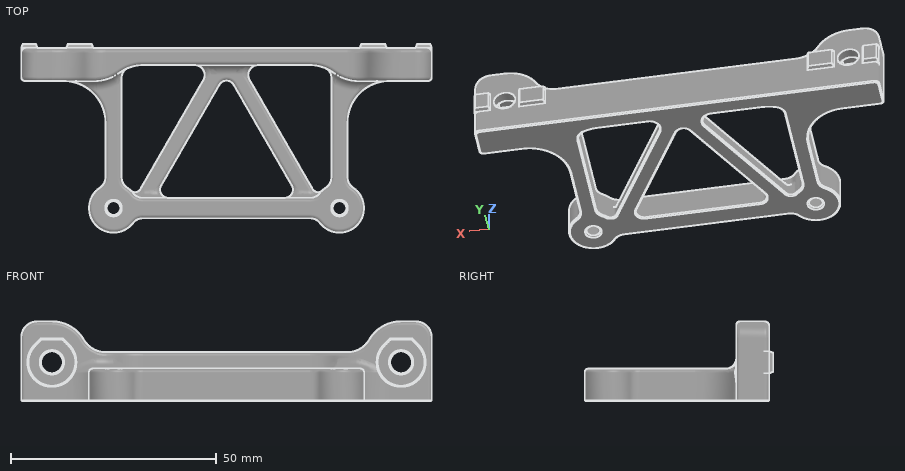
import cadquery as cq
import math

length = 100.0
wall_thickness = 8.1
base_height = 8.0
rail_height = 12.0
rail_thickness = 4.2
ear_height = 19.5

ear_hole_x = 42.5
ear_hole_z = 9.5
ear_corner_radius = 4.0
ear_crown_radius = 9.0
ear_valley_radius = 6.0
ear_slope_angle = math.radians(60)
rail_bend_start_x = 20.3
rail_bend_radius = 10.0

bolt_hole_diameter = 5.3
bolt_hole_chamfer = 0.35
pocket_radius = 5.7
pocket_roof = 5.5
pocket_depth = 5.0
pocket_chamfer = 0.3

key_height = 1.0
key_width = 5.4
key_taper = 22.0
key_gap = 7.0
key_inner_x = 32.4

boss_x = 27.5
boss_y = -39.0
boss_radius = 6.0
boss_hole_diameter = 3.3
boss_hole_chamfer = 0.4
boss_blend_radius = 3.0
arm_width = 4.0
bar_width = 5.0
gusset_radius = 10.0

strut_width = 4.0
strut_height = 4.0
strut_angle = math.radians(60)
strut_apex_y = -2.0
strut_overlap = 1.5
strut_rail_fillet = 2.4
strut_bar_fillet = 2.0
strut_corner_radius = 2.0
strut_boss_fillet = 1.5
seam_reach = 25.0

edge_fillet = 1.0
back_fillet = 1.2
arm_wall_fillet = 2.5
bottom_chamfer = 0.3

half_length = length / 2
arm_inner_x = boss_x - arm_width / 2
arm_outer_x = boss_x + arm_width / 2
bar_inner_y = boss_y + bar_width / 2


def mirror_both(shape):
    """Return the shape together with its mirror image across the YZ plane."""
    return shape.union(shape.mirror("YZ"))


def nearest(x, y, z):
    """Selector for the edge whose centre lies nearest to a point."""
    return cq.selectors.NearestToPointSelector((x, y, z))


def make_wall():
    """Wall with raised ears, thinned between them to a slimmer rail."""
    crown_z = ear_height - ear_crown_radius
    slope_x = ear_hole_x - ear_crown_radius * math.sin(ear_slope_angle)
    slope_z = crown_z + ear_crown_radius * math.cos(ear_slope_angle)
    crown_mid_x = ear_hole_x - ear_crown_radius * math.sin(ear_slope_angle / 2)
    crown_mid_z = crown_z + ear_crown_radius * math.cos(ear_slope_angle / 2)
    valley_x = slope_x - ear_valley_radius * math.sin(ear_slope_angle)
    valley_mid_x = valley_x + ear_valley_radius * math.sin(ear_slope_angle / 2)
    valley_mid_z = rail_height + ear_valley_radius * (1 - math.cos(ear_slope_angle / 2))
    corner_cut = ear_corner_radius * (1 - math.sqrt(0.5))
    half_wall = (
        cq.Workplane("XZ")
        .moveTo(0, 0)
        .lineTo(half_length, 0)
        .lineTo(half_length, ear_height - ear_corner_radius)
        .threePointArc(
            (half_length - corner_cut, ear_height - corner_cut),
            (half_length - ear_corner_radius, ear_height),
        )
        .lineTo(ear_hole_x, ear_height)
        .threePointArc((crown_mid_x, crown_mid_z), (slope_x, slope_z))
        .threePointArc((valley_mid_x, valley_mid_z), (valley_x, rail_height))
        .lineTo(0, rail_height)
        .close()
        .extrude(wall_thickness)
    )

    bend_depth = wall_thickness - rail_thickness
    bend_angle = math.acos(1 - bend_depth / (2 * rail_bend_radius))
    bend_middle_x = rail_bend_start_x + rail_bend_radius * math.sin(bend_angle)
    bend_end_x = 2 * bend_middle_x - rail_bend_start_x
    quarter_x = rail_bend_radius * math.sin(bend_angle / 2)
    quarter_y = rail_bend_radius * (1 - math.cos(bend_angle / 2))
    rail_relief = (
        cq.Workplane("XY")
        .moveTo(0, -rail_thickness)
        .lineTo(rail_bend_start_x, -rail_thickness)
        .threePointArc(
            (rail_bend_start_x + quarter_x, -rail_thickness - quarter_y),
            (bend_middle_x, -(rail_thickness + wall_thickness) / 2),
        )
        .threePointArc(
            (bend_end_x - quarter_x, -wall_thickness + quarter_y),
            (bend_end_x, -wall_thickness),
        )
        .lineTo(0, -wall_thickness)
        .close()
        .extrude(ear_height)
    )
    wall = mirror_both(half_wall.cut(rail_relief))
    wall = wall.edges(nearest(0, -rail_thickness, rail_height)).fillet(edge_fillet)
    return wall.edges(nearest(0, 0, rail_height)).fillet(back_fillet)


def make_bar(height):
    """Straight front bar running from boss to boss."""
    bar = cq.Workplane("XY").box(2 * boss_x, bar_width, height, centered=(True, True, False))
    return bar.translate((0, boss_y, 0))


def make_frame():
    """Side arms with gussets, front bar and round bosses, blended in plan."""
    gusset_end_x = arm_outer_x + gusset_radius
    gusset_end_y = -wall_thickness - gusset_radius
    gusset_cut = gusset_radius * (1 - math.sqrt(0.5))
    arm = (
        cq.Workplane("XY")
        .moveTo(arm_inner_x, -rail_thickness)
        .lineTo(arm_inner_x, boss_y)
        .lineTo(arm_outer_x, boss_y)
        .lineTo(arm_outer_x, gusset_end_y)
        .threePointArc(
            (arm_outer_x + gusset_cut, -wall_thickness - gusset_cut),
            (gusset_end_x, -wall_thickness),
        )
        .lineTo(gusset_end_x, -rail_thickness)
        .close()
        .extrude(base_height)
    )
    boss = cq.Workplane("XY").center(boss_x, boss_y).circle(boss_radius).extrude(base_height)
    frame = mirror_both(arm.union(boss)).union(make_bar(base_height))
    margin = 0.1
    boss_corners = cq.selectors.BoxSelector(
        (-half_length, boss_y - boss_radius, -1),
        (half_length, boss_y + boss_radius + margin, base_height + 1),
    )
    seams = [
        edge
        for edge in frame.edges("|Z").edges(boss_corners).vals()
        if abs(edge.Center().y - boss_y + boss_radius) > margin
    ]
    frame = frame.newObject(seams).fillet(boss_blend_radius)
    frame = frame.edges(nearest(0, boss_y - bar_width / 2, base_height)).fillet(edge_fillet)
    return frame.edges(nearest(0, bar_inner_y, base_height)).fillet(edge_fillet)


def seam_at(y):
    """Selector for the edges where the struts meet an upright face at y."""
    margin = 0.1
    return cq.selectors.BoxSelector(
        (-seam_reach, y - margin, margin),
        (seam_reach, y + margin, strut_height + margin),
    )


def make_struts():
    """Two diagonal struts leaning together under the rail."""
    middle_y = (bar_inner_y - strut_overlap + strut_apex_y) / 2
    rise = strut_apex_y - bar_inner_y + strut_overlap
    middle_x = rise / 2 / math.tan(strut_angle)
    strut = (
        cq.Workplane("XY")
        .box(rise / math.sin(strut_angle), strut_width, strut_height, centered=(True, True, False))
        .rotate((0, 0, 0), (0, 0, 1), -math.degrees(strut_angle))
        .translate((middle_x, middle_y, 0))
    )
    struts = mirror_both(strut)
    inner_corner_y = strut_apex_y - strut_width / 2 / math.cos(strut_angle)
    inner_corner = nearest(0, inner_corner_y, strut_height / 2)
    struts = struts.edges("|Z").edges(inner_corner).fillet(strut_corner_radius)
    struts = struts.faces(">Z").edges("not(<Y or >Y)").fillet(edge_fillet)

    bar = make_bar(base_height)
    rail = cq.Workplane("XY").box(
        2 * rail_bend_start_x,
        rail_thickness - back_fillet,
        rail_height - edge_fillet,
        centered=(True, False, False),
    )
    rail = rail.translate((0, -rail_thickness, 0))
    truss = struts.union(bar).union(rail)
    truss = truss.edges(seam_at(bar_inner_y)).fillet(strut_bar_fillet)
    truss = truss.cut(make_bar(edge_fillet).translate((0, 0, base_height - edge_fillet)))
    return truss.edges(seam_at(-rail_thickness)).fillet(strut_rail_fillet)


def blend_arms(body):
    """Cove where the rounded tops of the arms and gussets run into the wall."""
    cove = cq.selectors.BoxSelector(
        (-half_length, -wall_thickness - 1, base_height - 1.2),
        (half_length, -rail_thickness - 0.2, base_height + 0.1),
        boundingbox=True,
    )
    return body.edges(cove).fillet(arm_wall_fillet)


def smooth_strut_corners(body):
    """Round the upright creases where the strut blends run into the bosses."""
    for side in (-1, 1):
        crease = nearest(side * (boss_x - boss_radius), bar_inner_y, strut_height / 2)
        body = body.edges("|Z").edges(crease).fillet(strut_boss_fillet)
    return body


def make_bolt_cut():
    """Bolt hole with a head pocket whose roof is cut flat between 45 degree flanks."""

    def pocket_section(offset, y):
        radius = pocket_radius + offset
        roof = pocket_roof + offset
        flank = radius * math.sqrt(0.5)
        roof_half = 2 * flank - roof
        return (
            cq.Workplane("XZ", origin=(ear_hole_x, y, ear_hole_z))
            .moveTo(-flank, flank)
            .threePointArc((0, -radius), (flank, flank))
            .lineTo(roof_half, roof)
            .lineTo(-roof_half, roof)
            .close()
        )

    reach = gusset_radius
    floor_y = pocket_depth - wall_thickness
    pocket = pocket_section(0, floor_y).extrude(pocket_depth + reach)
    mouth = pocket_section(pocket_chamfer, -wall_thickness).extrude(reach)
    rim = pocket_section(pocket_chamfer, -wall_thickness).extrude(-pocket_chamfer, taper=45)
    hole_radius = bolt_hole_diameter / 2
    hole = (
        cq.Workplane("XZ", origin=(ear_hole_x, key_height, ear_hole_z))
        .circle(hole_radius)
        .extrude(wall_thickness)
    )
    countersink = cq.Workplane(
        cq.Solid.makeCone(
            hole_radius + bolt_hole_chamfer,
            hole_radius,
            bolt_hole_chamfer,
            cq.Vector(ear_hole_x, floor_y, ear_hole_z),
            cq.Vector(0, 1, 0),
        )
    )
    return mirror_both(pocket.union(mouth).union(rim).union(hole).union(countersink))


def make_keys():
    """Tapered keys on the back face, one each side of every bolt hole."""

    def key(inner_x, outer_x):
        return (
            cq.Workplane("XZ", origin=((inner_x + outer_x) / 2, 0, ear_hole_z))
            .rect(outer_x - inner_x, key_width)
            .extrude(-key_height, taper=key_taper)
        )

    outer_start_x = ear_hole_x + key_gap / 2
    inner_key = key(key_inner_x, ear_hole_x - key_gap / 2)
    outer_key = key(outer_start_x, half_length)
    root = (
        cq.Workplane("XZ", origin=((outer_start_x + half_length) / 2, 0, ear_hole_z))
        .rect(half_length - outer_start_x, key_width)
        .extrude(back_fillet)
    )
    return mirror_both(inner_key.union(outer_key).union(root))


def make_boss_hole():
    """Through hole with both rims chamfered."""
    hole_radius = boss_hole_diameter / 2
    rim_radius = hole_radius + boss_hole_chamfer
    hole = (
        cq.Workplane("XY", origin=(boss_x, boss_y, 0))
        .circle(hole_radius)
        .extrude(base_height)
    )
    top = cq.Workplane("XY", origin=(boss_x, boss_y, base_height)).circle(rim_radius)
    bottom = cq.Workplane("XY", origin=(boss_x, boss_y, 0)).circle(rim_radius)
    hole = hole.union(top.extrude(-boss_hole_chamfer, taper=45))
    return mirror_both(hole.union(bottom.extrude(boss_hole_chamfer, taper=45)))


body = blend_arms(make_wall().union(make_frame()))
body = body.union(make_struts()).union(make_keys())
body = smooth_strut_corners(body).faces("<Z").chamfer(bottom_chamfer)
result = body.cut(make_bolt_cut()).cut(make_boss_hole())